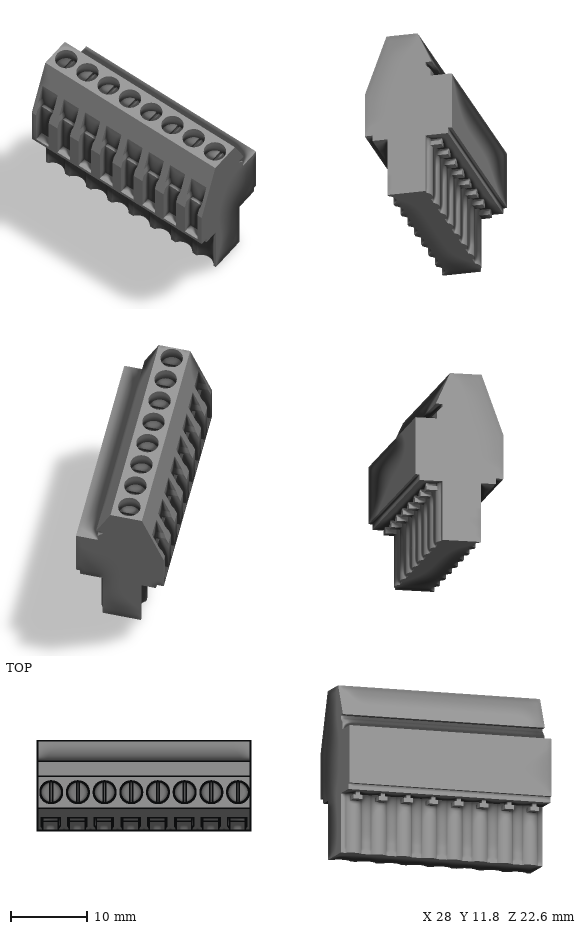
import cadquery as cq

CONTACTS = 8
LENGTH = 28.0
PITCH = LENGTH / CONTACTS
DEPTH = 11.82
HEIGHT = 22.6
contact_x = [(i + 0.5) * PITCH - LENGTH / 2 for i in range(CONTACTS)]

BLOCK_BOTTOM = 7.92
STEP_HEIGHT = 0.75
FRONT_STEP = 1.05
REAR_STEP = 0.53
SLOPE_BOTTOM = 14.6
TOP_FRONT = 2.95
TOP_REAR = 7.17
SHOULDER_TOP = 16.38
NECK_REAR = 8.93
NECK_TOP = 17.3
NOTCH_REAR = 8.23
NOTCH_BOTTOM = 17.98
NOTCH_TOP = 18.37
HOOK_REAR = 9.1

PLUG_FRONT = 3.05
PLUG_REAR = 8.23
SCALLOP_WIDTH = 2.75
SCALLOP_DEPTH = 0.75
LOBE_WIDTH = 2.25
LOBE_HEIGHT = 0.5

TAB_REAR = 10.08
TAB_HEAD_WIDTH = 1.2
TAB_NECK_WIDTH = 0.55
TAB_HEAD_HEIGHT = 0.55
TAB_NECK_HEIGHT = 0.4

SLOT_FLOOR = 9.18
SLOT_WIDTH = 2.07
SLOT_DEPTH = 1.23
LEDGE_HEIGHT = 15.2
FUNNEL_BOTTOM = 15.55
FUNNEL_TOP = 16.4
FUNNEL_WIDTH = 2.5
FUNNEL_DEPTH = 1.68

SCREW_Y = (TOP_FRONT + TOP_REAR) / 2
SCREW_OFFSET = 0.08
WELL_DIAMETER = 2.95
SCREW_DIAMETER = 2.8
SCREW_RECESS = 1.75
SCREW_HEIGHT = 1.12
DRIVE_WIDTH = 0.35
DRIVE_DEPTH = 0.42


def make_block():
    """Side profile of the upper housing, extruded along the whole row."""
    step_top = BLOCK_BOTTOM + STEP_HEIGHT
    profile = [
        (FRONT_STEP, BLOCK_BOTTOM),
        (FRONT_STEP, step_top),
        (0, step_top),
        (0, SLOPE_BOTTOM),
        (TOP_FRONT, HEIGHT),
        (TOP_REAR, HEIGHT),
        (HOOK_REAR, NOTCH_TOP),
        (NOTCH_REAR, NOTCH_TOP),
        (NOTCH_REAR, NOTCH_BOTTOM),
        (NECK_REAR, NECK_TOP),
        (NECK_REAR, SHOULDER_TOP),
        (DEPTH, SHOULDER_TOP),
        (DEPTH, step_top),
        (DEPTH - REAR_STEP, step_top),
        (DEPTH - REAR_STEP, BLOCK_BOTTOM),
    ]
    return cq.Workplane("YZ").polyline(profile).close().extrude(LENGTH / 2, both=True)


def make_plug():
    """Plug with a concave scallop in front of each contact and a convex lobe behind it."""
    outline = cq.Workplane("XY").moveTo(-LENGTH / 2, PLUG_FRONT)
    for x in contact_x:
        outline = outline.lineTo(x - SCALLOP_WIDTH / 2, PLUG_FRONT).threePointArc(
            (x, PLUG_FRONT + SCALLOP_DEPTH), (x + SCALLOP_WIDTH / 2, PLUG_FRONT)
        )
    outline = outline.lineTo(LENGTH / 2, PLUG_FRONT).lineTo(LENGTH / 2, PLUG_REAR)
    for x in reversed(contact_x):
        outline = outline.lineTo(x + LOBE_WIDTH / 2, PLUG_REAR).threePointArc(
            (x, PLUG_REAR + LOBE_HEIGHT), (x - LOBE_WIDTH / 2, PLUG_REAR)
        )
    return outline.lineTo(-LENGTH / 2, PLUG_REAR).close().extrude(BLOCK_BOTTOM)


def make_coding_tab(x):
    """T-shaped tab: a narrow neck under the block with a wider head below it."""
    length = TAB_REAR - PLUG_REAR
    neck = cq.Workplane("XY").box(TAB_NECK_WIDTH, length, TAB_NECK_HEIGHT, centered=(True, False, False))
    head = cq.Workplane("XY").box(TAB_HEAD_WIDTH, length, TAB_HEAD_HEIGHT, centered=(True, False, False))
    tab = neck.union(head.translate((0, 0, -TAB_HEAD_HEIGHT)))
    return tab.translate((x, PLUG_REAR, BLOCK_BOTTOM - TAB_NECK_HEIGHT))


def make_wire_slot(x):
    """Cutter for one wire entry: a narrow slot, opening above its ledge into a wider, deeper funnel."""
    slot = cq.Workplane("XY").box(
        SLOT_WIDTH, SLOT_DEPTH, LEDGE_HEIGHT - SLOT_FLOOR, centered=(True, False, False)
    )
    slot = slot.translate((0, 0, SLOT_FLOOR))
    right_side = [
        (SLOT_WIDTH / 2, LEDGE_HEIGHT),
        (SLOT_WIDTH / 2, FUNNEL_BOTTOM),
        (FUNNEL_WIDTH / 2, FUNNEL_TOP),
        (FUNNEL_WIDTH / 2, HEIGHT),
    ]
    left_side = [(-half_width, z) for half_width, z in reversed(right_side)]
    funnel = cq.Workplane("XZ").polyline(right_side + left_side).close().extrude(-FUNNEL_DEPTH)
    return slot.union(funnel).translate((x, 0, 0))


def make_screw_well(x):
    depth = SCREW_RECESS + SCREW_HEIGHT
    well = cq.Workplane("XY").circle(WELL_DIAMETER / 2).extrude(depth)
    return well.translate((x + SCREW_OFFSET, SCREW_Y, HEIGHT - depth))


def make_housing():
    housing = make_block().union(make_plug())
    for x in contact_x:
        housing = housing.union(make_coding_tab(x))
        housing = housing.cut(make_wire_slot(x)).cut(make_screw_well(x))
    return housing


def make_screw(x):
    """Slotted screw head resting on the floor of its well."""
    head = cq.Workplane("XY").circle(SCREW_DIAMETER / 2).extrude(SCREW_HEIGHT)
    drive = cq.Workplane("XY").box(DRIVE_WIDTH, SCREW_DIAMETER, DRIVE_DEPTH, centered=(True, True, False))
    head = head.cut(drive.translate((0, 0, SCREW_HEIGHT - DRIVE_DEPTH)))
    return head.translate((x + SCREW_OFFSET, SCREW_Y, HEIGHT - SCREW_RECESS - SCREW_HEIGHT))


housing = make_housing()
screws = [make_screw(x) for x in contact_x]
result = cq.Compound.makeCompound([housing.val(), *[screw.val() for screw in screws]])